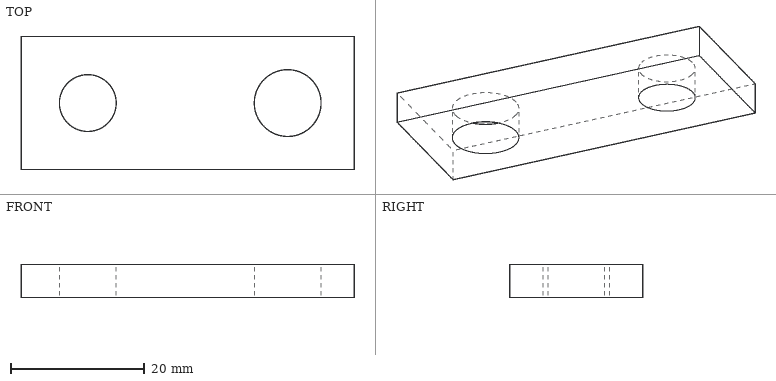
import cadquery as cq

length = 50.0
width = 20.0
thickness = 5.0

small_hole_diameter = 8.5
large_hole_diameter = 10.0
hole_end_distance = width / 2
hole_offset = length / 2 - hole_end_distance


def drill_hole(plate, x, diameter):
    """Cut a hole through the full thickness, at x on the centreline."""
    return plate.faces(">Z").workplane(origin=(x, 0, 0)).hole(diameter)


result = cq.Workplane("XY").box(length, width, thickness)
result = drill_hole(result, -hole_offset, small_hole_diameter)
result = drill_hole(result, hole_offset, large_hole_diameter)